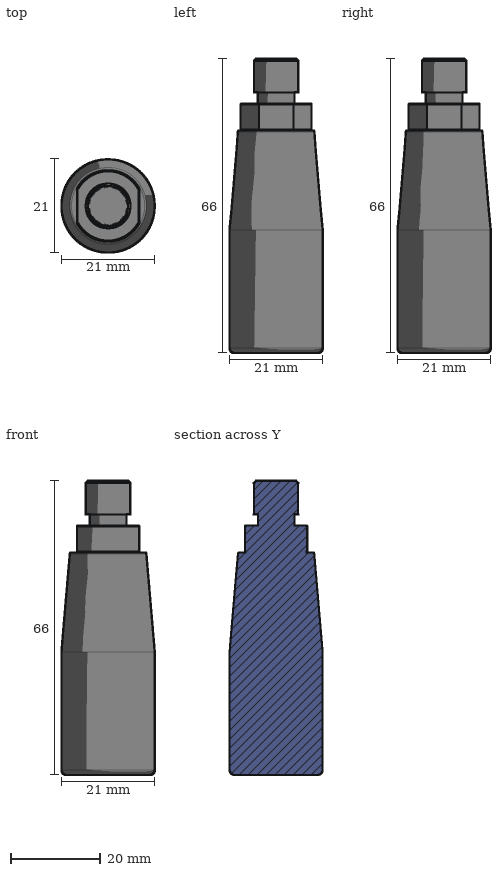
import cadquery as cq

total_height = 66.0
stud_length = 7.5
neck_length = 2.5
collar_height = 6.0
taper_start = 27.6
neck_top = total_height - stud_length
collar_top = neck_top - neck_length
grip_top = collar_top - collar_height

grip_diameter = 21.0
grip_top_diameter = 17.15
collar_diameter = 16.0
collar_flat_width = 14.0
neck_diameter = 8.3
stud_diameter = 10.0

base_fillet = 1.2
shoulder_fillet = 0.4
collar_chamfer = 0.2
stud_chamfer = 0.5


def make_grip():
    """Cylindrical handle that tapers towards its top, with rounded ends."""
    grip_radius = grip_diameter / 2
    grip = (
        cq.Workplane("XZ")
        .lineTo(grip_radius, 0)
        .lineTo(grip_radius, taper_start)
        .lineTo(grip_top_diameter / 2, grip_top)
        .lineTo(0, grip_top)
        .close()
        .revolve(360, (0, 0), (0, 1))
    )
    return grip.faces("<Z").edges().fillet(base_fillet).faces(">Z").edges().fillet(shoulder_fillet)


def make_collar():
    """Round collar with two wrench flats facing -X and +X."""
    collar = cq.Workplane("XY").workplane(offset=grip_top).circle(collar_diameter / 2).extrude(collar_height)
    flats = (
        cq.Workplane("XY")
        .workplane(offset=grip_top)
        .rect(collar_flat_width, collar_diameter)
        .extrude(collar_height)
    )
    return collar.intersect(flats).faces("<Z or >Z").edges().chamfer(collar_chamfer)


def make_stud():
    """Undercut neck and the wider stud with a chamfered tip."""
    neck = cq.Workplane("XY").workplane(offset=collar_top).circle(neck_diameter / 2).extrude(neck_length)
    stud = cq.Workplane("XY").workplane(offset=neck_top).circle(stud_diameter / 2).extrude(stud_length)
    return neck.union(stud.faces(">Z").edges().chamfer(stud_chamfer))


result = make_grip().union(make_collar()).union(make_stud())